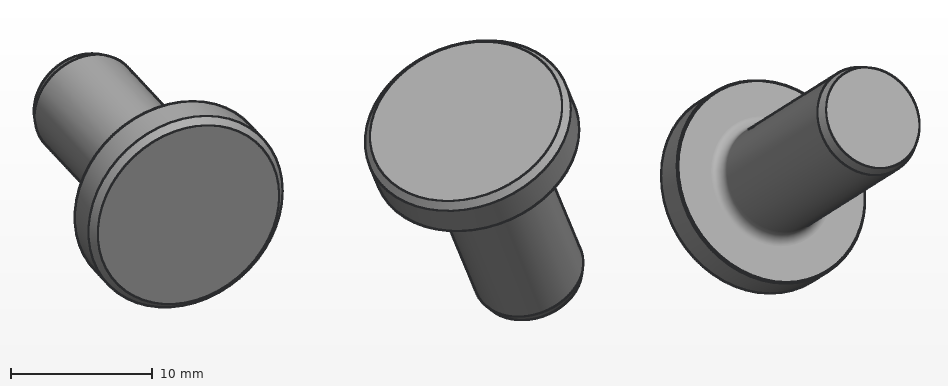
import cadquery as cq

total_length = 18.5
head_diameter = 15.0
head_thickness = 3.0
shank_diameter = 8.0
neck_fillet = 0.8
head_end_chamfer = 0.5
head_inner_chamfer = 0.1
tip_length = 0.8
tip_inset = 0.28

tip_x = -total_length / 2
shank_length = total_length - head_thickness
head_x = tip_x + shank_length


def cylinder_along_x(start_x, diameter, length):
    return cq.Workplane("YZ", origin=(start_x, 0, 0)).circle(diameter / 2).extrude(length)


def make_shank():
    """Plain round shank with a tapered lead-in at the free end."""
    shank = cylinder_along_x(tip_x, shank_diameter, shank_length)
    tip_face = shank.faces("<X").val()
    tip_edge = tip_face.Edges()[0]
    tapered = shank.val().chamfer(tip_length, tip_inset, [tip_edge])
    return cq.Workplane(obj=tapered)


def make_head():
    """Disc head with a large outer chamfer and a small edge break beside the shank."""
    head = cylinder_along_x(head_x, head_diameter, head_thickness)
    head = head.faces(">X").edges().chamfer(head_end_chamfer)
    return head.faces("<X").edges().chamfer(head_inner_chamfer)


def fillet_neck(pin):
    """Round the inside corner where the shank meets the head."""
    reach = 0.02
    corner = cq.selectors.BoxSelector(
        (head_x - reach, -shank_diameter, -shank_diameter),
        (head_x + reach, shank_diameter, shank_diameter),
    )
    neck_edge = cq.selectors.RadiusNthSelector(0)
    return pin.edges(corner).edges(neck_edge).fillet(neck_fillet)


result = fillet_neck(make_head().union(make_shank()))